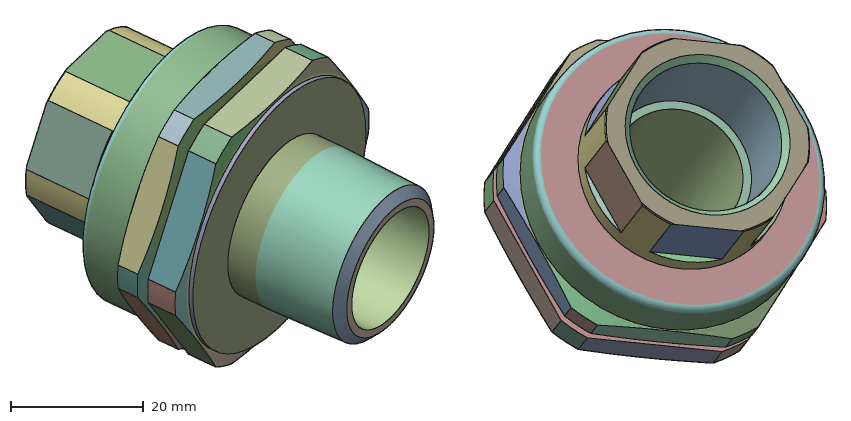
import cadquery as cq
import math

length = 56.05
wrench_flat_length = 12.0
flange_start = 15.0
nut_start = 23.05
nut_end = 27.9
locknut_start = 29.2
locknut_end = 34.85
washer_end = 35.6
taper_start = 40.75

socket_radius = 16.0
flange_radius = 22.8
neck_radius = 20.0
washer_radius = 22.6
spigot_radius = 13.45

wrench_across_flats = 30.0
nut_across_flats = 46.0
nut_corner_radius = 25.3
nut_bevel_depth = 0.6

socket_edge = 0.15
flange_fillet = 1.0
tip_chamfer_length = 1.45
tip_chamfer_height = 1.6

thread_slope = 1 / 32
through_radius = 10.1
countersink_radius = 12.9
countersink_depth = 1.0
socket_bore_radius = 11.9
socket_bore_depth = 16.1


def revolve_about_axis(points):
    """Revolve a closed (x, radius) outline about the X axis."""
    return cq.Workplane("XY").polyline(points).close().revolve(360, (0, 0, 0), (1, 0, 0))


def cylinder(start, end, radius):
    return cq.Workplane("YZ", origin=(start, 0, 0)).circle(radius).extrude(end - start)


def hexagon(start, end, across_flats):
    """Hexagonal prism with flats facing +Z and -Z."""
    across_corners = across_flats / math.cos(math.pi / 6)
    return cq.Workplane("YZ", origin=(start, 0, 0)).polygon(6, across_corners).extrude(end - start)


def hex_nut(start, end, bevelled_faces):
    """Hexagon with turned corners, bevelled down to the flats on the chosen faces."""
    bevel_height = nut_corner_radius - nut_across_flats / 2
    envelope = cylinder(start, end, nut_corner_radius)
    for face in bevelled_faces:
        envelope = envelope.faces(face).edges().chamfer(nut_bevel_depth, bevel_height)
    return hexagon(start, end, nut_across_flats).intersect(envelope)


def socket():
    """Round socket with six wrench flats at its open end."""
    body = cylinder(0, flange_start, socket_radius).faces("<X").edges().chamfer(socket_edge)
    flats = hexagon(0, wrench_flat_length, wrench_across_flats)
    collar = cylinder(wrench_flat_length, flange_start, socket_radius)
    return body.intersect(flats.union(collar))


def spigot():
    """Tapered male end with a bevelled tip."""
    bevel_start = length - tip_chamfer_length
    bevel_radius = spigot_radius - thread_slope * (bevel_start - taper_start)
    return revolve_about_axis([
        (washer_end, 0),
        (washer_end, spigot_radius),
        (taper_start, spigot_radius),
        (bevel_start, bevel_radius),
        (length, bevel_radius - tip_chamfer_height),
        (length, 0),
    ])


def bore():
    step_radius = socket_bore_radius - thread_slope * (socket_bore_depth - countersink_depth)
    return revolve_about_axis([
        (0, 0),
        (0, countersink_radius),
        (countersink_depth, socket_bore_radius),
        (socket_bore_depth, step_radius),
        (socket_bore_depth, through_radius),
        (length, through_radius),
        (length, 0),
    ])


flange = cylinder(flange_start, nut_start, flange_radius).faces("<X").edges().fillet(flange_fillet)
nut = hex_nut(nut_start, nut_end, ["<X", ">X"])
neck = cylinder(nut_end, locknut_start, neck_radius)
locknut = hex_nut(locknut_start, locknut_end, [">X"])
washer = cylinder(locknut_end, washer_end, washer_radius)

result = socket()
for section in (flange, nut, neck, locknut, washer, spigot()):
    result = result.union(section)
result = result.cut(bore())